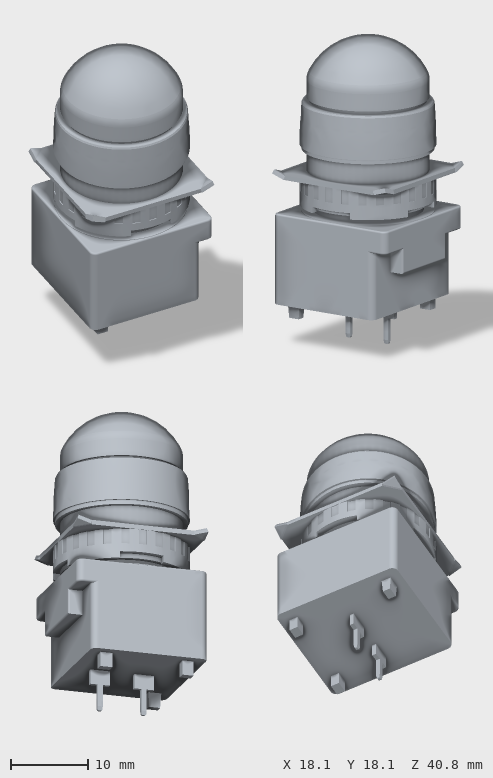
import cadquery as cq
import math


FOOT_BOTTOM_Z = 3.5
BLOCK_BOTTOM_Z = 5.45
LEDGE_Z = 14.5
BLOCK_TOP_Z = 17.6
NUT_BOTTOM_Z = 18.35
SHOULDER_Z = 18.6
NUT_TOP_Z = 22.3
WASHER_THICKNESS = 0.6
BEZEL_BOTTOM_Z = 25.8
BEZEL_BAND_Z = 26.35
BEZEL_TOP_Z = 32.2
LENS_RIM_BOTTOM_Z = 32.7
LENS_RIM_TOP_Z = 35.0
DOME_EDGE_Z = 36.1
DOME_TOP_Z = 40.8

BODY_SIZE = 17.8
BODY_HALF = BODY_SIZE / 2

LENS_RADIUS = 8.0
LENS_NECK_RADIUS = 7.65
DOME_EDGE_RADIUS = 7.7

BARREL_RADIUS = 8.0
NECK_RADIUS = 7.25
BEZEL_RADIUS = BODY_HALF
BEZEL_FOOT_RADIUS = 8.65
BEZEL_SHOULDER_RADIUS = 8.65
BEZEL_TOP_RADIUS = 8.53
BEZEL_BEVEL_HEIGHT = 0.25
BOSS_RADIUS = 8.75
BOSS_HEIGHT = 0.1
BLOCK_CORNER_RADIUS = 0.85
BLOCK_EDGE_RADIUS = 0.25
NOTCH_DEPTH = 1.95
LUG_WIDTH = 9.8
LUG_BOTTOM_Z = 11.18

TERMINAL_SPACING = 6.0
TERMINAL_THICKNESS = 0.57
TERMINAL_PLATE_WIDTH = 2.7
TERMINAL_PIN_WIDTH = 0.7
TERMINAL_TIP_RADIUS = 0.25
TIP_BEVEL_HEIGHT = 0.57
TIP_BEVEL_DEPTH = 0.12

FOOT_X = -6.98
FOOT_WIDTH = 1.2
FOOT_SPANS_Y = [(-7.35, -5.85), (3.75, 5.4)]
PEG_X = 6.8
PEG_Y = -6.6
PEG_WIDTH = 1.3
PEG_LENGTH = 1.75
PEG_DRAFT = 0.12

TAB_LEG = 1.9
TAB_ANGLE = 25.0
TAB_PIVOT_HEIGHT = 0.5

NUT_RADIUS = BODY_HALF
GRIP_COUNT = 24
GRIP_WIDTH = 1.05
GRIP_HEIGHT = 2.0
GRIP_DEPTH = 0.12
WRENCH_NOTCH_WIDTH = 5.95
WRENCH_NOTCH_HEIGHT = 0.85


def cylinder(radius, bottom, top):
    return cq.Workplane("XY").workplane(offset=bottom).circle(radius).extrude(top - bottom)


def box(x_range, y_range, z_range):
    """Box between the given limits along each axis."""
    return (
        cq.Workplane("XY")
        .box(x_range[1] - x_range[0], y_range[1] - y_range[0], z_range[1] - z_range[0], centered=False)
        .translate((x_range[0], y_range[0], z_range[0]))
    )


def make_lens():
    """Domed lens: spherical cap, rounded edge, straight rim and a short neck."""
    cap_height = DOME_TOP_Z - DOME_EDGE_Z
    cap_radius = (DOME_EDGE_RADIUS**2 + cap_height**2) / (2 * cap_height)
    mid_angle = math.asin(DOME_EDGE_RADIUS / cap_radius) / 2
    cap_middle = (
        cap_radius * math.sin(mid_angle),
        DOME_TOP_Z - cap_radius * (1 - math.cos(mid_angle)),
    )
    return (
        cq.Workplane("XZ")
        .moveTo(0, BEZEL_TOP_Z)
        .lineTo(LENS_NECK_RADIUS, BEZEL_TOP_Z)
        .lineTo(LENS_NECK_RADIUS, LENS_RIM_BOTTOM_Z)
        .lineTo(LENS_RADIUS, LENS_RIM_BOTTOM_Z)
        .lineTo(LENS_RADIUS, LENS_RIM_TOP_Z)
        .tangentArcPoint((DOME_EDGE_RADIUS, DOME_EDGE_Z), relative=False)
        .threePointArc(cap_middle, (0, DOME_TOP_Z))
        .close()
        .revolve(360, (0, 0, 0), (0, 1, 0))
    )


def make_operator():
    """Turned front of the housing: boss, neck, barrel and crowned bezel."""
    bevel_z = BEZEL_TOP_Z - BEZEL_BEVEL_HEIGHT
    crown_drop = BEZEL_RADIUS - BEZEL_SHOULDER_RADIUS
    crown_middle = (BEZEL_RADIUS - crown_drop / 4, (BEZEL_BAND_Z + bevel_z) / 2)
    turned = (
        cq.Workplane("XZ")
        .moveTo(0, BLOCK_TOP_Z)
        .lineTo(NECK_RADIUS, BLOCK_TOP_Z)
        .lineTo(NECK_RADIUS, SHOULDER_Z)
        .lineTo(BARREL_RADIUS, SHOULDER_Z)
        .lineTo(BARREL_RADIUS, BEZEL_BOTTOM_Z)
        .lineTo(BEZEL_FOOT_RADIUS, BEZEL_BOTTOM_Z)
        .lineTo(BEZEL_FOOT_RADIUS, BEZEL_BAND_Z)
        .lineTo(BEZEL_RADIUS, BEZEL_BAND_Z)
        .threePointArc(crown_middle, (BEZEL_SHOULDER_RADIUS, bevel_z))
        .lineTo(BEZEL_TOP_RADIUS, BEZEL_TOP_Z)
        .lineTo(0, BEZEL_TOP_Z)
        .close()
        .revolve(360, (0, 0, 0), (0, 1, 0))
    )
    boss = cylinder(BOSS_RADIUS, BLOCK_TOP_Z, BLOCK_TOP_Z + BOSS_HEIGHT)
    return turned.union(boss)


def make_block():
    """Square rear block with an overhang and a lug at its +Y side."""
    full = (-BODY_HALF, BODY_HALF)
    head = (
        box(full, full, (LEDGE_Z, BLOCK_TOP_Z))
        .edges("|Z").fillet(BLOCK_CORNER_RADIUS)
        .faces("<Z or >Z").edges().fillet(BLOCK_EDGE_RADIUS)
    )
    head_middle_z = (LEDGE_Z + BLOCK_TOP_Z) / 2
    lower = (
        box(full, (-BODY_HALF, BODY_HALF - NOTCH_DEPTH), (BLOCK_BOTTOM_Z, head_middle_z))
        .edges("|Z").fillet(BLOCK_CORNER_RADIUS)
    )
    lug = (
        box((-LUG_WIDTH / 2, LUG_WIDTH / 2), (0, BODY_HALF), (LUG_BOTTOM_Z, head_middle_z))
        .edges(">Y and (not >Z)").fillet(BLOCK_EDGE_RADIUS)
    )
    return head.union(lower).union(lug)


def make_terminal(y):
    """Flat terminal: wide plate with a narrow pin that has a bevelled, rounded tip."""
    thickness_range = (-TERMINAL_THICKNESS / 2, TERMINAL_THICKNESS / 2)
    plate = box(
        thickness_range,
        (y - TERMINAL_PLATE_WIDTH / 2, y + TERMINAL_PLATE_WIDTH / 2),
        (FOOT_BOTTOM_Z, BLOCK_BOTTOM_Z),
    )
    half_thickness = TERMINAL_THICKNESS / 2
    tip_half = half_thickness - TIP_BEVEL_DEPTH
    pin = (
        cq.Workplane("XZ", origin=(0, y, 0))
        .polyline([
            (-tip_half, 0),
            (tip_half, 0),
            (half_thickness, TIP_BEVEL_HEIGHT),
            (half_thickness, FOOT_BOTTOM_Z),
            (-half_thickness, FOOT_BOTTOM_Z),
            (-half_thickness, TIP_BEVEL_HEIGHT),
        ])
        .close()
        .extrude(TERMINAL_PIN_WIDTH / 2, both=True)
        .faces("<Z").edges("|X").fillet(TERMINAL_TIP_RADIUS)
    )
    return plate.union(pin)


def make_foot(y_range):
    return box(
        (FOOT_X - FOOT_WIDTH / 2, FOOT_X + FOOT_WIDTH / 2),
        y_range,
        (FOOT_BOTTOM_Z, BLOCK_BOTTOM_Z),
    )


def make_peg():
    """Foot that narrows towards its lower end."""
    return (
        cq.Workplane("XY", origin=(PEG_X, PEG_Y, FOOT_BOTTOM_Z))
        .rect(PEG_WIDTH - 2 * PEG_DRAFT, PEG_LENGTH - 2 * PEG_DRAFT)
        .workplane(offset=BLOCK_BOTTOM_Z - FOOT_BOTTOM_Z)
        .rect(PEG_WIDTH, PEG_LENGTH)
        .loft(ruled=True)
    )


def make_housing():
    """Housing in one piece: operator, block, terminals and feet."""
    housing = make_block().union(make_operator())
    for side in (-1, 1):
        housing = housing.union(make_terminal(side * TERMINAL_SPACING / 2))
    for y_range in FOOT_SPANS_Y:
        housing = housing.union(make_foot(y_range))
    return housing.union(make_peg())


def make_corner_tab():
    """Corner of the washer at +X +Y, bent upwards, with the wedge that fills the bend."""
    leg_start = BODY_HALF - TAB_LEG
    flat = (
        cq.Workplane("XY", origin=(0, 0, NUT_TOP_Z))
        .polyline([(leg_start, BODY_HALF), (BODY_HALF, leg_start), (BODY_HALF, BODY_HALF)])
        .close()
        .extrude(WASHER_THICKNESS)
    )
    pivot_z = NUT_TOP_Z + TAB_PIVOT_HEIGHT
    bent = flat.rotate((leg_start, BODY_HALF, pivot_z), (BODY_HALF, leg_start, pivot_z), TAB_ANGLE)

    bend_distance = (leg_start + BODY_HALF) / math.sqrt(2)
    bend_length = TAB_LEG * math.sqrt(2)
    angle = math.radians(TAB_ANGLE)
    wedge = (
        cq.Workplane("XZ")
        .polyline([
            (bend_distance, pivot_z),
            (bend_distance, NUT_TOP_Z),
            (
                bend_distance + TAB_PIVOT_HEIGHT * math.sin(angle),
                pivot_z - TAB_PIVOT_HEIGHT * math.cos(angle),
            ),
        ])
        .close()
        .extrude(bend_length / 2, both=True)
        .rotate((0, 0, 0), (0, 0, 1), 45)
    )
    return bent.union(wedge)


def make_washer():
    """Square washer with its four corners bent upwards."""
    washer = (
        cq.Workplane("XY", origin=(0, 0, NUT_TOP_Z))
        .rect(BODY_SIZE, BODY_SIZE)
        .extrude(WASHER_THICKNESS)
        .edges("|Z").chamfer(TAB_LEG)
    )
    tab = make_corner_tab()
    for quarter in range(4):
        washer = washer.union(tab.rotate((0, 0, 0), (0, 0, 1), 90 * quarter))
    return washer.cut(cylinder(BARREL_RADIUS, NUT_TOP_Z, BEZEL_BOTTOM_Z))


def make_nut():
    """Ring nut with grip grooves at its upper edge and four wrench notches at its lower edge."""
    nut = cylinder(NUT_RADIUS, NUT_BOTTOM_Z, NUT_TOP_Z)
    groove = box(
        (NUT_RADIUS - GRIP_DEPTH, NUT_RADIUS + GRIP_DEPTH),
        (-GRIP_WIDTH / 2, GRIP_WIDTH / 2),
        (NUT_TOP_Z - GRIP_HEIGHT, NUT_TOP_Z),
    )
    for index in range(GRIP_COUNT):
        nut = nut.cut(groove.rotate((0, 0, 0), (0, 0, 1), index * 360 / GRIP_COUNT))
    notch = box(
        (-NUT_RADIUS, NUT_RADIUS),
        (-WRENCH_NOTCH_WIDTH / 2, WRENCH_NOTCH_WIDTH / 2),
        (NUT_BOTTOM_Z, NUT_BOTTOM_Z + WRENCH_NOTCH_HEIGHT),
    )
    for angle in (0, 90):
        nut = nut.cut(notch.rotate((0, 0, 0), (0, 0, 1), angle))
    return nut.cut(cylinder(BARREL_RADIUS, NUT_BOTTOM_Z, NUT_TOP_Z))


lens = make_lens()
housing = make_housing()
washer = make_washer()
nut = make_nut()

result = cq.Compound.makeCompound([lens.val(), housing.val(), washer.val(), nut.val()])